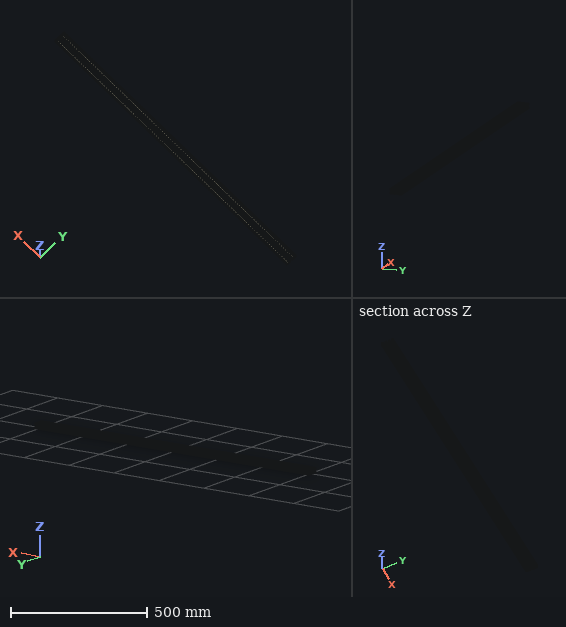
import cadquery as cq

length = 1219.2
width = 45.0
height = 18.5
corner_radius = 2.5

mouth_width = 9.2
mouth_depth = 2.0
neck_width = 8.2
lip_depth = 4.8
undercut_width = 13.6
undercut_end_depth = 12.5
floor_width = 9.2
slot_depth = 14.5

groove_width = 2.0
groove_depth = 1.2


def rounded_bar():
    """Solid bar along X with its four long corners rounded."""
    return cq.Workplane("XY").box(length, width, height).edges("|X").fillet(corner_radius)


def slot_cutter(groove=False):
    """Full-length T-slot that opens downward at Z = 0 and rises to its floor."""
    one_side = [
        (mouth_width / 2, 0),
        (mouth_width / 2, mouth_depth),
        (neck_width / 2, mouth_depth),
        (neck_width / 2, lip_depth),
        (undercut_width / 2, lip_depth),
        (undercut_width / 2, undercut_end_depth),
        (floor_width / 2, slot_depth),
    ]
    if groove:
        one_side.append((groove_width / 2, slot_depth))
    tip = [(0, slot_depth + groove_depth)] if groove else []
    other_side = [(-y, z) for y, z in reversed(one_side)]
    outline = one_side + tip + other_side
    return cq.Workplane("YZ").polyline(outline).close().extrude(length / 2, both=True)


def bottom_slot():
    """Grooved slot that opens at the bottom face."""
    return slot_cutter(groove=True).translate((0, 0, -height / 2))


def side_slot(side):
    """Slot at mid-height that opens at the +Y (side = 1) or -Y (side = -1) face."""
    turned = slot_cutter().rotate((0, 0, 0), (1, 0, 0), 90 * side)
    return turned.translate((0, side * width / 2, 0))


result = rounded_bar().cut(bottom_slot())
for side in (-1, 1):
    result = result.cut(side_slot(side))